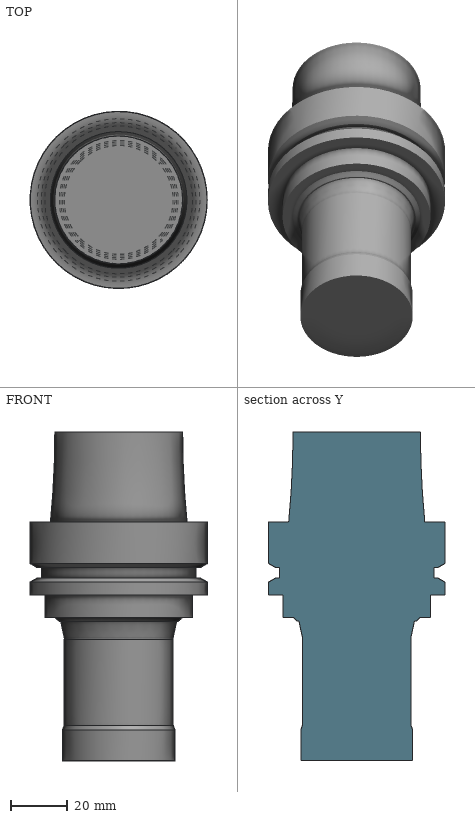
import math

import cadquery as cq

shank_length = 32.0
body_length = 85.0

shank_top_diameter = 45.5
shank_base_diameter = 48.6

flange_diameter = 63.0
flange_length = 26.0
groove_centre_depth = 18.1
groove_mouth_width = 6.6
groove_floor_width = 3.6
groove_flank_angle = 60.0
groove_floor_diameter = 55.0

collar_diameter = 52.6
collar_length = 8.0

shoulder_top_diameter = 45.3
shoulder_bottom_diameter = 42.3
shoulder_length = 1.4

flare_top_diameter = 41.2
flare_length = 5.8
land_diameter = 38.7
land_length = 0.7

neck_diameter = 38.8
nose_diameter = 40.0
nose_length = 11.0
nose_bevel_length = 1.7


def point(diameter, depth):
    """Profile point (radius, Z) at a diameter and a depth below Z = 0."""
    return (diameter / 2, -depth)


def shank_outline(sketch):
    """Top face of the shank and the hollow arc down to the flange."""
    flare_out = (shank_base_diameter - shank_top_diameter) / 2
    arc_radius = (shank_length**2 + flare_out**2) / (2 * flare_out)
    half_length = shank_length / 2
    middle_rise = arc_radius - math.sqrt(arc_radius**2 - half_length**2)
    middle_diameter = shank_top_diameter + 2 * middle_rise
    return (
        sketch.moveTo(0, shank_length)
        .lineTo(*point(shank_top_diameter, -shank_length))
        .threePointArc(point(middle_diameter, -half_length), point(shank_base_diameter, 0))
    )


def flange_outline(sketch):
    """Flange rim with the gripper groove cut into it."""
    flank_length = (groove_mouth_width - groove_floor_width) / 2
    flank_reach = flank_length * math.tan(math.radians(groove_flank_angle))
    flank_end_diameter = flange_diameter - 2 * flank_reach
    mouth_top = groove_centre_depth - groove_mouth_width / 2
    mouth_bottom = groove_centre_depth + groove_mouth_width / 2
    floor_top = groove_centre_depth - groove_floor_width / 2
    floor_bottom = groove_centre_depth + groove_floor_width / 2
    return (
        sketch.lineTo(*point(flange_diameter, 0))
        .lineTo(*point(flange_diameter, mouth_top))
        .lineTo(*point(flank_end_diameter, floor_top))
        .lineTo(*point(groove_floor_diameter, floor_top))
        .lineTo(*point(groove_floor_diameter, floor_bottom))
        .lineTo(*point(flank_end_diameter, floor_bottom))
        .lineTo(*point(flange_diameter, mouth_bottom))
        .lineTo(*point(flange_diameter, flange_length))
    )


def collar_and_flare_outline(sketch):
    """Collar, shoulder cone, flare and the land above the neck."""
    collar_bottom = flange_length + collar_length
    shoulder_bottom = collar_bottom + shoulder_length
    flare_bottom = shoulder_bottom + flare_length
    land_bottom = flare_bottom + land_length
    return (
        sketch.lineTo(*point(collar_diameter, flange_length))
        .lineTo(*point(collar_diameter, collar_bottom))
        .lineTo(*point(shoulder_top_diameter, collar_bottom))
        .lineTo(*point(shoulder_bottom_diameter, shoulder_bottom))
        .lineTo(*point(flare_top_diameter, shoulder_bottom))
        .lineTo(*point(land_diameter, flare_bottom))
        .lineTo(*point(land_diameter, land_bottom))
        .lineTo(*point(neck_diameter, land_bottom))
    )


def nose_outline(sketch):
    """Neck, the bevel onto the nose ring, and the flat bottom face."""
    nose_top = body_length - nose_length
    return (
        sketch.lineTo(*point(neck_diameter, nose_top - nose_bevel_length))
        .lineTo(*point(nose_diameter, nose_top))
        .lineTo(*point(nose_diameter, body_length))
        .lineTo(*point(0, body_length))
        .close()
    )


profile = cq.Workplane("XZ")
profile = shank_outline(profile)
profile = flange_outline(profile)
profile = collar_and_flare_outline(profile)
profile = nose_outline(profile)

result = profile.revolve(360, (0, 0, 0), (0, 1, 0))